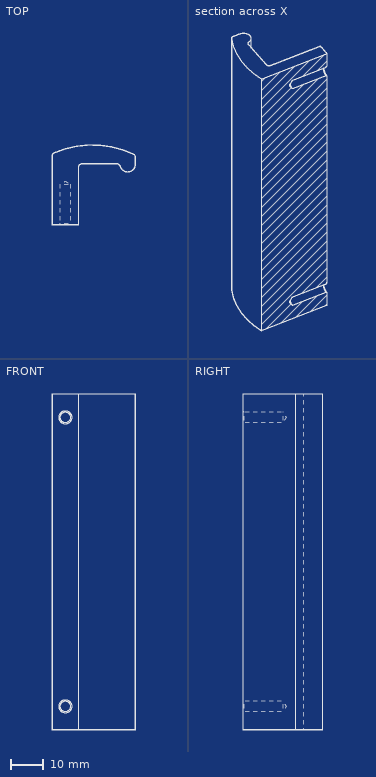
import cadquery as cq
import math

length = 105.0
width = 26.0
depth = 25.0

leg_thickness = 8.3
underside_y = 19.0
crown_x = 12.6
crown_radius = 30.0
bead_radius = 2.4
bead_bottom_y = 16.5
corner_radius = 1.0

hole_diameter = 3.3
countersink_diameter = 4.1
countersink_angle = 90.0
hole_depth = 12.6
drill_point_angle = 118.0
hole_end_distance = 7.4

bead_x = width - bead_radius
bead_y = bead_bottom_y + bead_radius


def crown_y(x):
    """Height of the domed outer face at a given X."""
    crown_centre_y = depth - crown_radius
    return crown_centre_y + math.sqrt(crown_radius**2 - (x - crown_x)**2)


def profile_bar():
    """Hook-shaped section extruded along Z, with its corners rounded."""
    bead_start_x = bead_x - math.sqrt(bead_radius**2 - (underside_y - bead_y)**2)
    outer_left = (0, crown_y(0))
    outer_right = (width, crown_y(width))
    inner_corner = (leg_thickness, underside_y)
    bead_start = (bead_start_x, underside_y)

    bar = (
        cq.Workplane("XY")
        .lineTo(leg_thickness, 0)
        .lineTo(*inner_corner)
        .lineTo(*bead_start)
        .threePointArc((bead_x, bead_bottom_y), (width, bead_y))
        .lineTo(*outer_right)
        .threePointArc((crown_x, depth), outer_left)
        .close()
        .extrude(length)
    )
    for x, y in (outer_left, outer_right, inner_corner, bead_start):
        edge = cq.selectors.NearestToPointSelector((x, y, length / 2))
        bar = bar.edges("|Z").edges(edge).fillet(corner_radius)
    return bar


def screw_hole(z):
    """Countersunk blind hole with a drill point, running along +Y."""
    radius = hole_diameter / 2
    mouth_radius = countersink_diameter / 2
    countersink_depth = (mouth_radius - radius) / math.tan(math.radians(countersink_angle / 2))
    point_depth = radius / math.tan(math.radians(drill_point_angle / 2))
    return (
        cq.Workplane("XY")
        .lineTo(mouth_radius, 0)
        .lineTo(radius, countersink_depth)
        .lineTo(radius, hole_depth)
        .lineTo(0, hole_depth + point_depth)
        .close()
        .revolve(360, (0, 0), (0, 1))
        .translate((leg_thickness / 2, 0, z))
    )


result = profile_bar()
for hole_z in (hole_end_distance, length - hole_end_distance):
    result = result.cut(screw_hole(hole_z))